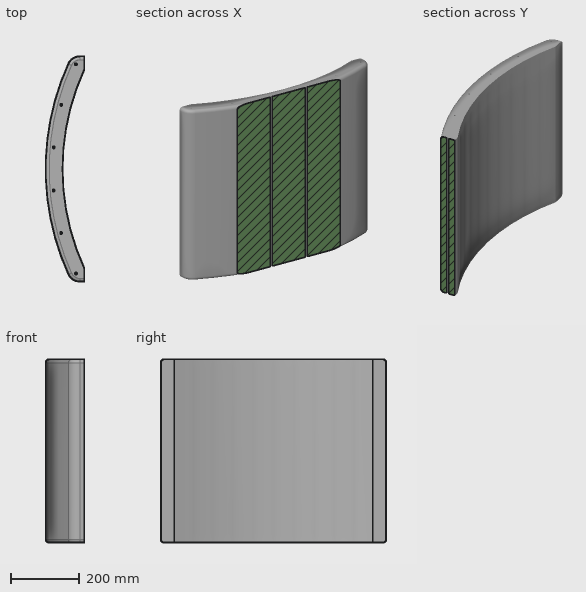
import cadquery as cq
import math

width = 660.5
height = 537.5
depth = 113.5
outer_radius = 746.0
thickness = 50.0
corner_radius = 37.5
edge_radius = 10.0

hole_diameter = 5.0
hole_inset = 21.0
hole_count = 6
hole_pitch_angle = 10.0

half_width = width / 2
inner_radius = outer_radius - thickness
axis_x = outer_radius


def arc_point(radius, angle):
    """Point on a circle about the bending axis, angle measured from -X."""
    return axis_x - radius * math.cos(angle), radius * math.sin(angle)


def curved_panel():
    """Curved panel with its two ends trimmed square, before rounding."""
    outer_angle = math.asin(half_width / outer_radius)
    inner_angle = math.acos((axis_x - depth) / inner_radius)
    outer_end_x, outer_end_y = arc_point(outer_radius, outer_angle)
    inner_end_x, inner_end_y = arc_point(inner_radius, inner_angle)
    return (
        cq.Workplane("XY")
        .moveTo(outer_end_x, -outer_end_y)
        .threePointArc((0, 0), (outer_end_x, outer_end_y))
        .lineTo(depth, half_width)
        .lineTo(inner_end_x, inner_end_y)
        .threePointArc((thickness, 0), (inner_end_x, -inner_end_y))
        .lineTo(depth, -half_width)
        .close()
        .extrude(height)
    )


def round_edges(panel):
    """Round the outer corners, then the rims along the outer face and ends."""
    corners = panel.faces("<X").edges("|Z")
    panel = corners.fillet(corner_radius)
    return panel.faces("|Y").edges("|X").fillet(edge_radius)


def drill_holes(panel):
    """Row of through holes evenly spaced along the curve."""
    hole_radius = outer_radius - hole_inset
    first_angle = -hole_pitch_angle * (hole_count - 1) / 2
    centers = [
        arc_point(hole_radius, math.radians(first_angle + i * hole_pitch_angle))
        for i in range(hole_count)
    ]
    holes = cq.Workplane("XY").pushPoints(centers).circle(hole_diameter / 2).extrude(height)
    return panel.cut(holes)


result = drill_holes(round_edges(curved_panel()))